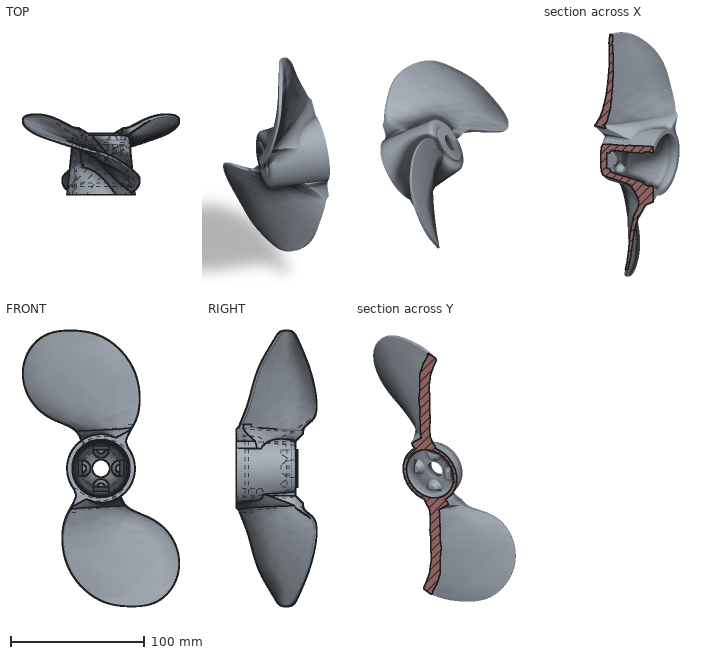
import cadquery as cq
import math


HUB_FRONT_RADIUS = 25.6
HUB_REAR_RADIUS = 21.2
HUB_LENGTH = 44.7
HUB_REAR_ROUND = 3.7
REAR_BOSS_RADIUS = 14.2
REAR_BOSS_HEIGHT = 1.5

BORE_MOUTH_RADIUS = 21.7
BORE_MOUTH_DEPTH = 6.5
BORE_TAPER_RADIUS = 20.6
BORE_TAPER_START = 9.0
BORE_FLOOR_RADIUS = 19.0
BORE_DEPTH = 38.0
BORE_FLOOR_ROUND = 3.5
SHAFT_HOLE_RADIUS = 6.5

LUG_COUNT = 4
LUG_OFFSET = 13.9
LUG_BASE_RADIUS = 6.0
LUG_TOP_RADIUS = 2.8
LUG_HEIGHT = 4.5
LUG_POCKET_LENGTH = 3.2
LUG_POCKET_DEPTH = 1.5

BLADE_COUNT = 2
BLADE_TIP_HEIGHT = 103.675
BLADE_REACH = 58.71
BLADE_AXIS_Y = 25.82
BLADE_RAKE = 0.035
HELIX_RISE = 27.5
HELIX_BASE_SLOPE = 0.075
STRAIGHT_ROOT_HEIGHT = 24.0
ROOT_RELIEF_HEIGHT = 20.5
BLADE_EDGE_THICKNESS = 1.5
BLADE_RIM_ROUND = 0.5
RIM_ROUND_START = 34.0
TRIM_SIZE = 4 * BLADE_TIP_HEIGHT

BLADE_SECTIONS = [
    (12.0, -22.0, 24.0, 3.2),
    (24.0, -25.0, 25.0, 3.2),
    (40.0, -45.0, 30.0, 2.7),
    (58.0, -60.0, 32.0, 2.2),
    (80.0, -61.0, 26.0, 1.8),
    (105.0, -50.0, 4.0, 1.3),
]

FLARE_SECTIONS = [
    (12.0, 20.0, 11.5),
    (20.0, 14.0, 7.5),
    (25.0, 7.5, 5.0),
    (33.0, 1.6, 1.6),
]
FLARE_LEFT = -25.0
FLARE_RIGHT = 32.0
FLARE_EDGE_RATIO = 0.3

BLADE_OUTLINE = [
    (-14.8, 20.5),
    (-17.0, 26.0),
    (-35.0, 36.3),
    (-50.0, 47.5),
    (-BLADE_REACH, 69.0),
    (-54.3, 88.0),
    (-42.0, 100.0),
    (-22.0, BLADE_TIP_HEIGHT),
    (-1.3, 99.9),
    (15.0, 88.4),
    (25.0, 73.4),
    (29.2, 53.0),
    (26.3, 36.3),
    (20.6, 25.4),
    (18.6, 20.6),
]
NECK_CORNERS = [(20.5, 15.0), (-8.0, 14.0)]


def lens_section(height, left, right, ahead, behind, edge_ahead, edge_behind):
    """Lens-shaped section in a plane of constant Z, inclined along the helix.

    ahead and behind are the thicknesses on the two sides of the helix at mid chord,
    edge_ahead and edge_behind those at the two ends.
    """
    slope = -(HELIX_BASE_SLOPE + HELIX_RISE / max(height, STRAIGHT_ROOT_HEIGHT))
    axis_y = BLADE_AXIS_Y + BLADE_RAKE * height
    chord_scale = math.hypot(1.0, slope)
    middle = (left + right) / 2

    def point(x, offset):
        return cq.Vector(
            x - offset * slope / chord_scale,
            axis_y + slope * x + offset / chord_scale,
            height,
        )

    left_behind = point(left, edge_behind)
    right_behind = point(right, edge_behind)
    left_ahead = point(left, -edge_ahead)
    right_ahead = point(right, -edge_ahead)
    edges = [
        cq.Edge.makeThreePointArc(left_behind, point(middle, behind), right_behind),
        cq.Edge.makeLine(right_behind, right_ahead),
        cq.Edge.makeThreePointArc(right_ahead, point(middle, -ahead), left_ahead),
        cq.Edge.makeLine(left_ahead, left_behind),
    ]
    return cq.Wire.assembleEdges(edges)


def blade_section(height, left, right, half_thickness):
    half_edge = BLADE_EDGE_THICKNESS / 2
    return lens_section(height, left, right, half_thickness, half_thickness, half_edge, half_edge)


def flare_section(height, ahead, behind):
    return lens_section(
        height,
        FLARE_LEFT,
        FLARE_RIGHT,
        ahead,
        behind,
        FLARE_EDGE_RATIO * ahead,
        FLARE_EDGE_RATIO * behind,
    )


def loft(wires):
    return cq.Workplane(cq.Solid.makeLoft(wires))


def blade_envelope():
    """Block from the front hub face back, relieved at 45 degrees behind the hub."""
    relief_top = ROOT_RELIEF_HEIGHT + TRIM_SIZE
    corners = [
        (0, 0),
        (HUB_LENGTH, 0),
        (HUB_LENGTH, ROOT_RELIEF_HEIGHT),
        (HUB_LENGTH + TRIM_SIZE, relief_top),
        (0, relief_top),
    ]
    return (
        cq.Workplane("YZ", origin=(-TRIM_SIZE / 2, 0, 0))
        .polyline(corners)
        .close()
        .extrude(TRIM_SIZE)
    )


def make_blade():
    outline = (
        cq.Workplane("XZ", origin=(0, -TRIM_SIZE / 2, 0))
        .moveTo(*BLADE_OUTLINE[0])
        .spline(BLADE_OUTLINE[1:], includeCurrent=True)
        .polyline(NECK_CORNERS, includeCurrent=True)
        .close()
        .extrude(-TRIM_SIZE)
    )
    plate = loft([blade_section(*section) for section in BLADE_SECTIONS])
    flare = loft([flare_section(*section) for section in FLARE_SECTIONS])
    rim = cq.selectors.BoxSelector(
        (-TRIM_SIZE, -TRIM_SIZE, RIM_ROUND_START),
        (TRIM_SIZE, TRIM_SIZE, TRIM_SIZE),
    )
    blade = plate.union(flare).intersect(outline).edges(rim).fillet(BLADE_RIM_ROUND)
    return blade.intersect(blade_envelope())


def make_hub():
    body = (
        cq.Workplane("XY")
        .lineTo(HUB_FRONT_RADIUS, 0)
        .lineTo(HUB_REAR_RADIUS, HUB_LENGTH)
        .lineTo(0, HUB_LENGTH)
        .close()
        .revolve(360, (0, 0, 0), (0, 1, 0))
        .faces(">Y")
        .edges()
        .fillet(HUB_REAR_ROUND)
    )
    boss = cq.Workplane("XZ", origin=(0, HUB_LENGTH, 0)).circle(REAR_BOSS_RADIUS).extrude(-REAR_BOSS_HEIGHT)
    return body.union(boss)


def make_bore():
    return (
        cq.Workplane("XY")
        .lineTo(BORE_MOUTH_RADIUS, 0)
        .lineTo(BORE_MOUTH_RADIUS, BORE_MOUTH_DEPTH)
        .lineTo(BORE_TAPER_RADIUS, BORE_TAPER_START)
        .lineTo(BORE_FLOOR_RADIUS, BORE_DEPTH)
        .lineTo(0, BORE_DEPTH)
        .close()
        .revolve(360, (0, 0, 0), (0, 1, 0))
        .faces(">Y")
        .edges()
        .fillet(BORE_FLOOR_ROUND)
    )


def make_shaft_hole():
    return cq.Workplane("XZ").circle(SHAFT_HOLE_RADIUS).extrude(-TRIM_SIZE)


def make_lug():
    """Half cone rising from the bore floor on the +Z side, flat towards the bore wall."""
    cone = cq.Workplane(
        cq.Solid.makeCone(
            LUG_BASE_RADIUS,
            LUG_TOP_RADIUS,
            LUG_HEIGHT,
            pnt=cq.Vector(0, BORE_DEPTH, LUG_OFFSET),
            dir=cq.Vector(0, -1, 0),
        )
    )
    inner_half = cq.Workplane("XY").box(TRIM_SIZE, TRIM_SIZE, LUG_OFFSET, centered=(True, True, False))
    return cone.intersect(inner_half)


def make_lug_pocket():
    start = cq.Workplane("XY", origin=(0, BORE_DEPTH, LUG_OFFSET))
    width = 2 * LUG_BASE_RADIUS
    return start.box(width, 2 * LUG_POCKET_DEPTH, LUG_POCKET_LENGTH, centered=(True, True, False))


def turned(part, index, count):
    return part.rotate((0, 0, 0), (0, 1, 0), index * 360 / count)


def make_cavity():
    """Everything removed from the hub: the bore, less its lugs, and the shaft hole."""
    cavity = make_bore().union(make_shaft_hole())
    lug = make_lug()
    lug_pocket = make_lug_pocket()
    for index in range(LUG_COUNT):
        cavity = cavity.union(turned(lug_pocket, index, LUG_COUNT))
        cavity = cavity.cut(turned(lug, index, LUG_COUNT))
    return cavity


result = make_hub()
blade = make_blade()
for index in range(BLADE_COUNT):
    result = result.union(turned(blade, index, BLADE_COUNT))
result = result.cut(make_cavity())